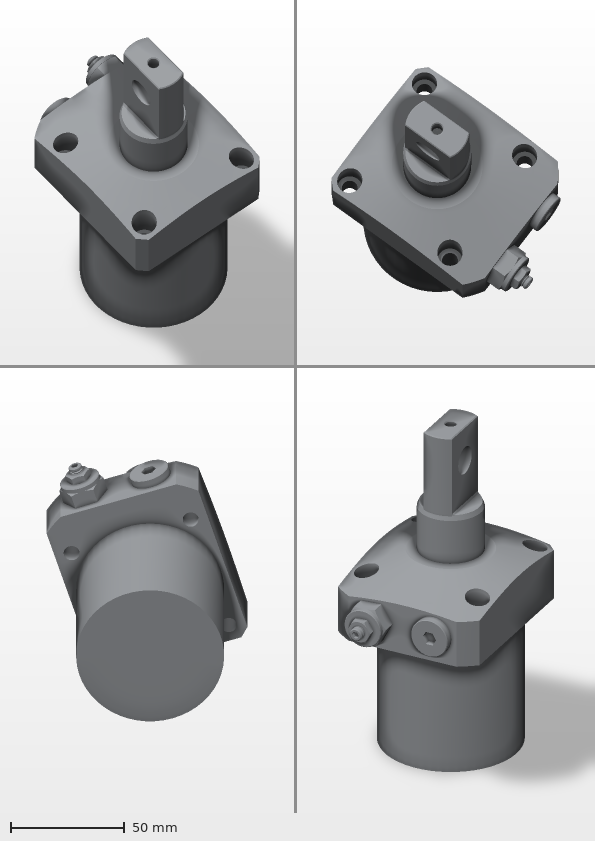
import cadquery as cq
import math


BARREL_DIA = 65.0
BARREL_HEIGHT = 63.2
HEAD_HEIGHT = 31.0
HEAD_LEFT = 46.0
HEAD_RIGHT = 35.0
HEAD_WIDTH = 70.0
PORT_CORNER_RADIUS = 53.2
PLAIN_CORNER_CHAMFER = 4.0
CONE_FLAT_RADIUS = 20.0
CONE_ANGLE = 15.0
HEAD_TOP = BARREL_HEIGHT + HEAD_HEIGHT

BOLT_PITCH = 54.9
BOLT_DIA = 7.0
BOLT_HEAD_DIA = 11.0
BOLT_SEAT_HEIGHT = 12.5

TOTAL_HEIGHT = 156.0
ROD_DIA = 30.0
SHOULDER_DROP = 38.2
SHOULDER_TOP_RADIUS = 14.0
SHOULDER_BEVEL_HEIGHT = 2.3
EYE_DIA = 28.4
EYE_THICKNESS = 14.0
EYE_TOP_CHAMFER = 0.5
EYE_FOOT_CHAMFER = 0.8
EYE_HOLE_DIA = 13.0
EYE_HOLE_DROP = 16.5
LIFT_HOLE_DIA = 5.0
LIFT_HOLE_MOUTH_DIA = 6.0
LIFT_HOLE_MOUTH_ANGLE = 90.0
LIFT_HOLE_DEPTH = 7.8
SHOULDER_Z = TOTAL_HEIGHT - SHOULDER_DROP

PORT_OFFSET = 15.1
PORT_Z = BARREL_HEIGHT + 13.0

PLUG_DIA = 18.0
PLUG_THICKNESS = 3.9
PLUG_SOCKET_FLATS = 6.0
PLUG_SOCKET_DEPTH = 3.1
PLUG_CHAMFER = 0.3

HEX_TURN = 3.0
HEX_BEVEL_ANGLE = 30.0
VALVE_FLATS = 17.6
VALVE_HEX_LENGTH = 7.0
COLLAR_DIA = 18.0
COLLAR_LENGTH = 2.2
COLLAR_CHAMFER = 0.3
VALVE_LENGTH = VALVE_HEX_LENGTH + COLLAR_LENGTH

NUT_FLATS = 9.8
NUT_LENGTH = 3.5

SCREW_DIA = 6.0
SCREW_LENGTH = 6.7
SCREW_CHAMFER = 0.5
THREAD_PITCH = 1.0
THREAD_DEPTH = 0.5
SCREW_SOCKET_FLATS = 3.0
SCREW_SOCKET_DEPTH = 2.0


def port_plane(y, outward):
    """Plane facing -X, a distance outward from the port face; its x axis runs along -Y."""
    return cq.Workplane(
        cq.Plane(origin=(-HEAD_LEFT - outward, y, PORT_Z), xDir=(0, -1, 0), normal=(-1, 0, 0))
    )


def across_corners(flats):
    """Distance across the corners of a hexagon."""
    return flats / math.cos(math.radians(30))


def make_hexagon(y, outward, flats, length, turn=0.0):
    """Hexagonal prism along -X, with corners at +Y and -Y before it is turned."""
    plane = port_plane(y, outward).transformed(rotate=(0, 0, turn))
    return plane.polygon(6, across_corners(flats)).extrude(length)


def bevel_hexagon(hexagon, y, outward, flats, length, edges):
    """Bevel the corners of a hexagon with a cone that meets its end faces at the flats."""
    corner_depth = (across_corners(flats) - flats) / 2
    bevel_length = corner_depth * math.tan(math.radians(HEX_BEVEL_ANGLE))
    envelope = (
        port_plane(y, outward)
        .circle(across_corners(flats) / 2)
        .extrude(length)
        .edges(edges)
        .chamfer(bevel_length, corner_depth)
    )
    return hexagon.intersect(envelope)


def make_housing():
    """Barrel and flanged head in one piece."""
    head = (
        cq.Workplane("XY", origin=((HEAD_RIGHT - HEAD_LEFT) / 2, 0, BARREL_HEIGHT))
        .rect(HEAD_LEFT + HEAD_RIGHT, HEAD_WIDTH)
        .extrude(HEAD_HEIGHT)
        .edges("|Z and >X")
        .chamfer(PLAIN_CORNER_CHAMFER)
    )

    cone_drop = (PORT_CORNER_RADIUS - CONE_FLAT_RADIUS) * math.tan(math.radians(CONE_ANGLE))
    envelope = (
        cq.Workplane("XZ")
        .moveTo(0, BARREL_HEIGHT)
        .lineTo(PORT_CORNER_RADIUS, BARREL_HEIGHT)
        .lineTo(PORT_CORNER_RADIUS, HEAD_TOP - cone_drop)
        .lineTo(CONE_FLAT_RADIUS, HEAD_TOP)
        .lineTo(0, HEAD_TOP)
        .close()
        .revolve(360, (0, 0), (0, 1))
    )
    barrel = cq.Workplane("XY").circle(BARREL_DIA / 2).extrude(BARREL_HEIGHT)
    housing = head.intersect(envelope).union(barrel)

    for bottom, dia in ((0, BOLT_DIA), (BOLT_SEAT_HEIGHT, BOLT_HEAD_DIA)):
        bores = (
            cq.Workplane("XY", origin=(0, 0, BARREL_HEIGHT + bottom))
            .rect(BOLT_PITCH, BOLT_PITCH, forConstruction=True)
            .vertices()
            .circle(dia / 2)
            .extrude(HEAD_HEIGHT - bottom)
        )
        housing = housing.cut(bores)
    return housing


def make_rod():
    """Round rod with a bevelled shoulder and a flat-sided eye."""
    shank = (
        cq.Workplane("XY", origin=(0, 0, HEAD_TOP))
        .circle(ROD_DIA / 2)
        .extrude(SHOULDER_Z - HEAD_TOP)
        .faces(">Z")
        .chamfer(SHOULDER_BEVEL_HEIGHT, ROD_DIA / 2 - SHOULDER_TOP_RADIUS)
    )

    eye_foot = SHOULDER_Z - SHOULDER_BEVEL_HEIGHT
    eye = (
        cq.Workplane("XY", origin=(0, 0, eye_foot))
        .circle(EYE_DIA / 2)
        .extrude(TOTAL_HEIGHT - eye_foot)
        .intersect(cq.Workplane("XY").box(ROD_DIA, EYE_THICKNESS, 2 * TOTAL_HEIGHT))
        .faces(">Z")
        .chamfer(EYE_TOP_CHAMFER)
    )

    half_thickness = EYE_THICKNESS / 2
    foot = (
        cq.Workplane("YZ", origin=(-ROD_DIA / 2, 0, SHOULDER_Z))
        .moveTo(-half_thickness - EYE_FOOT_CHAMFER, 0)
        .lineTo(half_thickness + EYE_FOOT_CHAMFER, 0)
        .lineTo(half_thickness, EYE_FOOT_CHAMFER)
        .lineTo(-half_thickness, EYE_FOOT_CHAMFER)
        .close()
        .extrude(ROD_DIA)
        .intersect(cq.Workplane("XY").circle(SHOULDER_TOP_RADIUS).extrude(TOTAL_HEIGHT))
    )

    cross_hole = (
        cq.Workplane("XZ", origin=(0, 0, TOTAL_HEIGHT - EYE_HOLE_DROP))
        .circle(EYE_HOLE_DIA / 2)
        .extrude(EYE_THICKNESS, both=True)
    )
    rod = shank.union(eye).union(foot).cut(cross_hole)
    return (
        rod.faces(">Z")
        .workplane(origin=(0, 0, TOTAL_HEIGHT))
        .cskHole(LIFT_HOLE_DIA, LIFT_HOLE_MOUTH_DIA, LIFT_HOLE_MOUTH_ANGLE, LIFT_HOLE_DEPTH)
    )


def make_plug():
    """Flat round plug with a hexagon socket."""
    plug = (
        port_plane(-PORT_OFFSET, 0)
        .circle(PLUG_DIA / 2)
        .extrude(PLUG_THICKNESS)
        .edges("<X")
        .chamfer(PLUG_CHAMFER)
    )
    socket_floor = PLUG_THICKNESS - PLUG_SOCKET_DEPTH
    return plug.cut(make_hexagon(-PORT_OFFSET, socket_floor, PLUG_SOCKET_FLATS, PLUG_SOCKET_DEPTH))


def make_valve_body():
    """Hexagon on the port face with a round collar at its outer end."""
    hexagon = make_hexagon(PORT_OFFSET, 0, VALVE_FLATS, VALVE_HEX_LENGTH, HEX_TURN)
    hexagon = bevel_hexagon(hexagon, PORT_OFFSET, 0, VALVE_FLATS, VALVE_HEX_LENGTH, "<X")
    collar = (
        port_plane(PORT_OFFSET, VALVE_HEX_LENGTH)
        .circle(COLLAR_DIA / 2)
        .extrude(COLLAR_LENGTH)
        .edges("<X")
        .chamfer(COLLAR_CHAMFER)
    )
    return hexagon.union(collar)


def make_lock_nut():
    """Hexagon nut bevelled at both ends, seated on the valve collar."""
    nut = make_hexagon(PORT_OFFSET, VALVE_LENGTH, NUT_FLATS, NUT_LENGTH, HEX_TURN)
    nut = bevel_hexagon(nut, PORT_OFFSET, VALVE_LENGTH, NUT_FLATS, NUT_LENGTH, "<X or >X")
    bore = port_plane(PORT_OFFSET, VALVE_LENGTH).circle(SCREW_DIA / 2).extrude(NUT_LENGTH)
    return nut.cut(bore)


def make_thread_groove(outward):
    """Ring of triangular section, one pitch long, that cuts one groove of the screw thread."""
    crest_radius = SCREW_DIA / 2
    return (
        cq.Workplane(cq.Plane(origin=(-HEAD_LEFT - outward, PORT_OFFSET, PORT_Z), xDir=(-1, 0, 0)))
        .moveTo(0, crest_radius)
        .lineTo(THREAD_PITCH / 2, crest_radius - THREAD_DEPTH)
        .lineTo(THREAD_PITCH, crest_radius)
        .close()
        .revolve(360, (0, 0), (1, 0))
    )


def make_screw():
    """Adjusting screw through the lock nut, with a hexagon socket in its end."""
    screw = (
        port_plane(PORT_OFFSET, VALVE_LENGTH)
        .circle(SCREW_DIA / 2)
        .extrude(SCREW_LENGTH)
        .edges("<X")
        .chamfer(SCREW_CHAMFER)
    )

    groove_count = math.floor((SCREW_LENGTH - NUT_LENGTH - SCREW_CHAMFER) / THREAD_PITCH)
    for index in range(groove_count):
        groove_start = VALVE_LENGTH + NUT_LENGTH + index * THREAD_PITCH
        screw = screw.cut(make_thread_groove(groove_start))

    socket_floor = VALVE_LENGTH + SCREW_LENGTH - SCREW_SOCKET_DEPTH
    return screw.cut(
        make_hexagon(PORT_OFFSET, socket_floor, SCREW_SOCKET_FLATS, SCREW_SOCKET_DEPTH, HEX_TURN)
    )


housing = make_housing()
rod = make_rod()
plug = make_plug()
valve_body = make_valve_body()
lock_nut = make_lock_nut()
screw = make_screw()

result = cq.Compound.makeCompound(
    [housing.val(), rod.val(), plug.val(), valve_body.val(), lock_nut.val(), screw.val()]
)